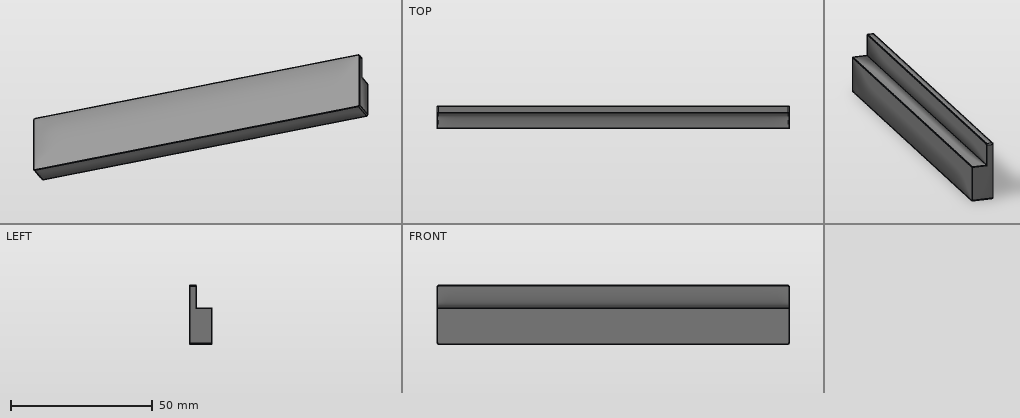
import cadquery as cq
import math

length = 125.0
depth = 8.0
height = 21.0

lip_thickness = 2.5
lip_height = 8.0

corner_chamfer = 0.5
edge_break = 0.2

body_height = height - lip_height
front_y = -depth / 2
back_y = depth / 2
lip_front_y = back_y - lip_thickness


def make_bar():
    """L-shaped cross-section extruded along X."""
    section = [
        (front_y, 0),
        (back_y, 0),
        (back_y, height),
        (lip_front_y, height),
        (lip_front_y, body_height),
        (front_y, body_height),
    ]
    return cq.Workplane("YZ").polyline(section).close().extrude(length / 2, both=True)


def chamfer_end_corners(bar):
    """Chamfer the depthwise edges at the bottom and at the top of the lip."""
    bottom_corners = bar.faces("<Z").edges("|Y")
    lip_corners = bar.faces(">Z").edges("|Y")
    return bottom_corners.add(lip_corners).chamfer(corner_chamfer)


def break_outer_edges(bar):
    """Break the outlines of the lengthwise faces and the ends of the step."""

    def is_on_step(edge):
        return math.isclose(edge.Center().z, body_height)

    def is_inner_corner(edge):
        return is_on_step(edge) and math.isclose(edge.Center().y, lip_front_y)

    outlines = bar.edges("not |Y").filter(lambda edge: not is_inner_corner(edge))
    step_ends = bar.edges("|Y").filter(is_on_step)
    return outlines.add(step_ends).chamfer(edge_break)


result = break_outer_edges(chamfer_end_corners(make_bar()))